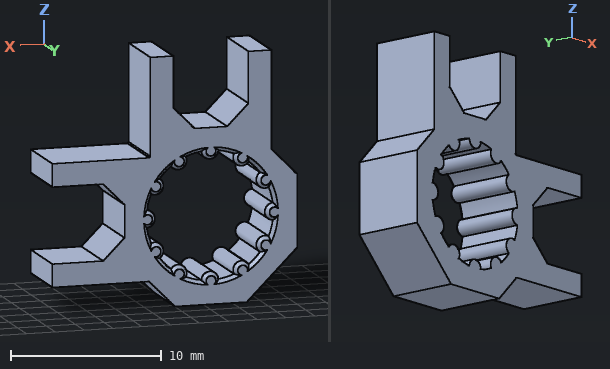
import cadquery as cq
import math

thickness = 5.0
overall_size = 17.0
body_half_width = 6.0
arm_half_width = 4.2
leg_thickness = 1.6
slot_corner_bevel = 1.48
bore_radius = 4.4
spline_radius = 0.6
spline_count = 12
bore_chamfer = 0.25

arm_reach = overall_size - body_half_width
slot_half_width = arm_half_width - leg_thickness
slot_floor = body_half_width
body_corner_radius = body_half_width / math.cos(math.pi / 8)


def extrude_through(sketch):
    """Extrude an XZ profile symmetrically through the part thickness."""
    return sketch.extrude(thickness / 2, both=True)


def make_body():
    """Regular octagon with flats facing the X and Z axes."""
    angles = [math.radians(22.5 + 45 * i) for i in range(8)]
    corners = [(body_corner_radius * math.cos(a), body_corner_radius * math.sin(a)) for a in angles]
    return extrude_through(cq.Workplane("XZ").polyline(corners).close())


def make_arm():
    """Forked arm pointing along +Z, with a bevelled slot between its legs."""
    floor_half_width = slot_half_width - slot_corner_bevel
    bevel_top = slot_floor + slot_corner_bevel
    profile = [
        (-arm_half_width, 0),
        (-arm_half_width, arm_reach),
        (-slot_half_width, arm_reach),
        (-slot_half_width, bevel_top),
        (-floor_half_width, slot_floor),
        (floor_half_width, slot_floor),
        (slot_half_width, bevel_top),
        (slot_half_width, arm_reach),
        (arm_half_width, arm_reach),
        (arm_half_width, 0),
    ]
    return extrude_through(cq.Workplane("XZ").polyline(profile).close())


def make_bore():
    """Round bore, less the half-round splines centred on its wall."""
    bore = extrude_through(cq.Workplane("XZ").circle(bore_radius))
    splines = extrude_through(
        cq.Workplane("XZ")
        .polarArray(bore_radius, 0, 360, spline_count)
        .circle(spline_radius)
    )
    return bore.cut(splines)


def make_cone(start_radius, end_radius):
    """Cone along +Y over the depth of the bore chamfer, ending at the +Y face."""
    base = cq.Vector(0, thickness / 2 - bore_chamfer, 0)
    return cq.Workplane(cq.Solid.makeCone(start_radius, end_radius, bore_chamfer, base, cq.Vector(0, 1, 0)))


def make_bore_chamfer():
    """Flare the bore wall outwards and taper every spline at the +Y face."""
    flare = make_cone(bore_radius, bore_radius + bore_chamfer)
    spline_tip = make_cone(spline_radius, spline_radius - bore_chamfer).translate((bore_radius, 0, 0))
    for i in range(spline_count):
        flare = flare.cut(spline_tip.rotate((0, 0, 0), (0, 1, 0), i * 360 / spline_count))
    return flare


upper_arm = make_arm()
side_arm = upper_arm.rotate((0, 0, 0), (0, 1, 0), 90)
result = make_body().union(upper_arm).union(side_arm).cut(make_bore()).cut(make_bore_chamfer())